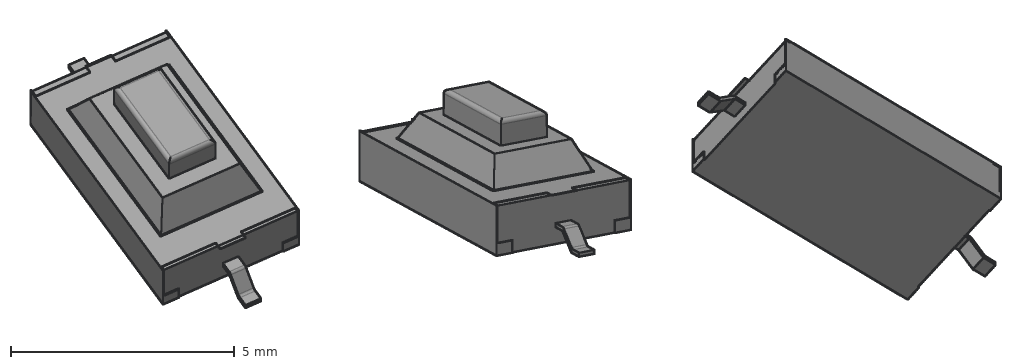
import cadquery as cq
import math

SPAN = 8.0
BODY_LENGTH = 6.0
BODY_WIDTH = 3.5
HEIGHT = 2.5

PLATE_SHEET = 0.02
WALL_SHEET = 0.02
COVER_TOP = 1.19
PLATE_LENGTH = 6.08
PLATE_SHIFT = 0.04
TONGUE_WIDTH = 0.66
END_SETBACK = 0.2
TAB_WIDTH = 0.42
TAB_HEIGHT = 0.3

BOSS_FOOT_SIZE = (4.22, 2.62)
BOSS_TAPER_BASE = (4.19, 2.58)
BOSS_TAPER_TOP = (3.3, 2.0)
BOSS_FOOT_HEIGHT = 0.02
BOSS_TOP = 1.89

BUTTON_LENGTH = 2.5
BUTTON_WIDTH = 1.2
BUTTON_ROUNDING = 0.1

LEAD_WIDTH = 0.4
LEAD_THICKNESS = 0.1
LEAD_EXIT_TOP = 0.5
FOOT_LENGTH = 0.3
BEND_ANGLE = 45.0
BEND_RADIUS = 0.1


def block(length, width, bottom, top):
    """Box centred on the Z axis between two heights."""
    return cq.Workplane("XY").workplane(offset=bottom).rect(length, width).extrude(top - bottom)


def make_base():
    """Plastic base inside the cover."""
    return block(BODY_LENGTH - 2 * WALL_SHEET, BODY_WIDTH - 2 * WALL_SHEET, 0, COVER_TOP - PLATE_SHEET)


def make_cover():
    """Top sheet with a tongue at each end, and the two long side walls."""
    plate_bottom = COVER_TOP - PLATE_SHEET
    wide_part = block(PLATE_LENGTH - 2 * END_SETBACK, BODY_WIDTH, plate_bottom, COVER_TOP)
    tongues = block(PLATE_LENGTH, TONGUE_WIDTH, plate_bottom, COVER_TOP)
    cover = wide_part.union(tongues).translate((PLATE_SHIFT, 0, 0))

    walls = block(BODY_LENGTH, BODY_WIDTH, 0, COVER_TOP)
    walls = walls.cut(block(BODY_LENGTH, BODY_WIDTH - 2 * WALL_SHEET, 0, COVER_TOP))
    return cover.union(walls)


def make_tabs():
    """Corner tabs at the bottom of both ends."""
    tabs = block(BODY_LENGTH, BODY_WIDTH, 0, TAB_HEIGHT)
    return tabs.cut(block(BODY_LENGTH, BODY_WIDTH - 2 * TAB_WIDTH, 0, TAB_HEIGHT))


def make_boss():
    """Tapered boss standing on a low straight foot."""
    foot_top = COVER_TOP + BOSS_FOOT_HEIGHT
    foot = block(*BOSS_FOOT_SIZE, COVER_TOP, foot_top)
    taper = (
        cq.Workplane("XY")
        .workplane(offset=foot_top)
        .rect(*BOSS_TAPER_BASE)
        .workplane(offset=BOSS_TOP - foot_top)
        .rect(*BOSS_TAPER_TOP)
        .loft(ruled=True)
    )
    return foot.union(taper)


def make_button():
    """Rectangular button with a rounded upper rim."""
    button = block(BUTTON_LENGTH, BUTTON_WIDTH, BOSS_TOP, HEIGHT)
    return button.faces(">Z").edges().fillet(BUTTON_ROUNDING)


def make_lead():
    """Lead on the +X end: out of the base, down a slope and out to a flat foot."""
    tip = SPAN / 2
    inside = BODY_LENGTH / 2 - 2 * WALL_SHEET
    exit_bottom = LEAD_EXIT_TOP - LEAD_THICKNESS
    low_bend = tip - FOOT_LENGTH
    high_bend = low_bend - exit_bottom / math.tan(math.radians(BEND_ANGLE))
    miter = LEAD_THICKNESS * math.tan(math.radians(BEND_ANGLE / 2))
    lead = (
        cq.Workplane("XZ")
        .moveTo(inside, LEAD_EXIT_TOP)
        .lineTo(high_bend, LEAD_EXIT_TOP)
        .lineTo(low_bend, LEAD_THICKNESS)
        .lineTo(tip, LEAD_THICKNESS)
        .lineTo(tip, 0)
        .lineTo(low_bend - miter, 0)
        .lineTo(high_bend - miter, exit_bottom)
        .lineTo(inside, exit_bottom)
        .close()
        .extrude(LEAD_WIDTH / 2, both=True)
    )
    upper_bends = cq.selectors.BoxSelector(
        (high_bend - miter / 2, -LEAD_WIDTH, LEAD_THICKNESS / 2),
        (low_bend + miter / 2, LEAD_WIDTH, LEAD_EXIT_TOP + miter),
    )
    return lead.edges("|Y").edges(upper_bends).fillet(BEND_RADIUS)


lead = make_lead()
result = (
    make_base()
    .union(make_cover())
    .union(make_tabs())
    .union(make_boss())
    .union(make_button())
    .union(lead)
    .union(lead.mirror("YZ"))
)